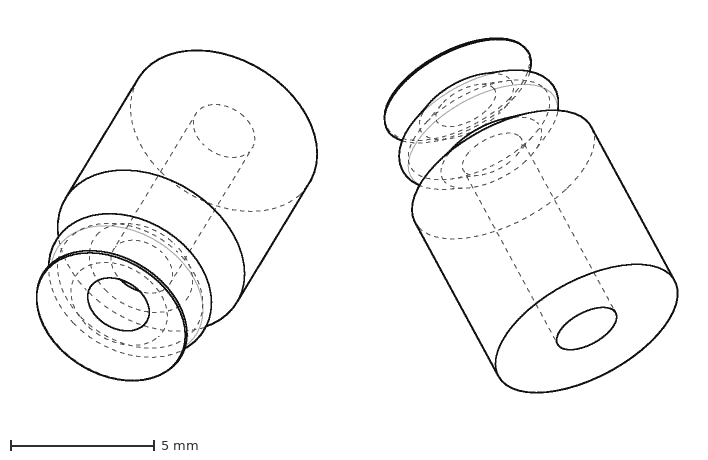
import cadquery as cq
import math


total_length = 10.87
body_radius = 3.5
body_length = 7.0
body_front = total_length - body_length

rear_waist_radius = 1.93
rear_waist_y = 2.87
front_waist_radius = 1.8
front_waist_y = 0.77
fold_radius = 3.02
fold_y = 1.84
fold_round = 0.4

lip_radius = 2.82
lip_edge_width = 0.09
lip_tip_radius = 2.78
bore_radius = 1.15
cup_depth = 0.73

hollow_radius = 2.72
hollow_rear = 2 * fold_y - cup_depth


def fold_tangent(waist_radius, waist_y):
    """Point (radius, y) where the cone from a waist meets the rounded fold tangentially."""
    centre_radius = fold_radius - fold_round
    radial = waist_radius - centre_radius
    axial = waist_y - fold_y
    distance = math.hypot(radial, axial)
    side = math.copysign(1, axial)
    angle = math.atan2(axial, radial) - side * math.acos(fold_round / distance)
    return (
        centre_radius + fold_round * math.cos(angle),
        fold_y + fold_round * math.sin(angle),
    )


section = (
    cq.Workplane("XY")
    .moveTo(bore_radius, total_length)
    .lineTo(body_radius, total_length)
    .lineTo(body_radius, body_front)
    .lineTo(rear_waist_radius, rear_waist_y)
    .lineTo(*fold_tangent(rear_waist_radius, rear_waist_y))
    .threePointArc((fold_radius, fold_y), fold_tangent(front_waist_radius, front_waist_y))
    .lineTo(front_waist_radius, front_waist_y)
    .lineTo(lip_radius, lip_edge_width)
    .lineTo(lip_tip_radius, 0)
    .lineTo(bore_radius, cup_depth)
    .lineTo(hollow_radius, fold_y)
    .lineTo(bore_radius, hollow_rear)
    .close()
)

result = section.revolve(360, (0, 0, 0), (0, 1, 0))